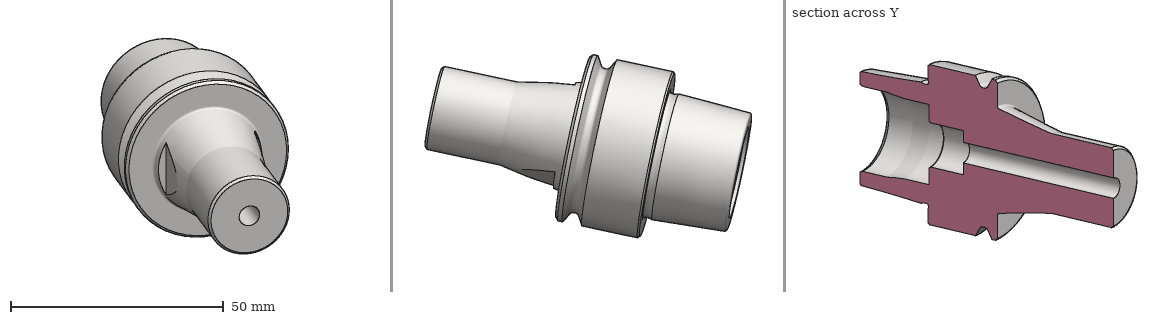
import cadquery as cq
import math

overall_length = 73.5

taper_mouth_radius = 14.25
taper_end_radius = 15.15
taper_end = 17.7
mouth_rounding = 0.65

undercut_radius = 14.85
undercut_start = 18.7
undercut_bend = 19.25
undercut_floor = 19.85
relief_inner_radius = 15.4
relief_outer_radius = 16.1

flange_start = 19.7
flange_end = 39.9
flange_radius = 20.0
flange_edge = 0.45
flange_rear_edge = 0.65
groove_center = 35.9
groove_radius = 17.35
groove_floor_half_width = 0.2
groove_corner_radius = 1.0
groove_wall_angle = math.radians(60)

neck_start = 40.6
neck_start_radius = 13.0
neck_root_rounding = neck_start - flange_end
neck_end = 55.4
neck_sag = 0.1
nose_radius = 10.0
nose_edge = 0.6

flat_start = 41.9
flat_distance = 10.8

mouth_bore_radius = 10.5
bore_mouth_edge = 0.45
bore_mouth_edge_length = 0.9
cone_start = 7.8
cone_end = 13.0
inner_bore_radius = 9.9
inner_bore_depth = 20.0
pilot_radius = 5.45
pilot_edge = 0.45
pilot_depth = 30.0
through_radius = 2.5


def point_on_rounding(center, radius, angle):
    """Point on a rounding, at an angle measured from +X towards +radius."""
    return (center[0] + radius * math.cos(angle), center[1] + radius * math.sin(angle))


def outer_body():
    corner_reach = groove_corner_radius * math.sin(groove_wall_angle)
    corner_rise = groove_corner_radius * (1 - math.cos(groove_wall_angle))
    wall_half_width = groove_floor_half_width + corner_reach
    wall_foot_radius = groove_radius + corner_rise
    wall_run = (flange_radius - wall_foot_radius) / math.tan(groove_wall_angle)
    mouth_half_width = wall_half_width + wall_run
    half_angle = groove_wall_angle / 2
    corner_mid_half_width = groove_floor_half_width + groove_corner_radius * math.sin(half_angle)
    corner_mid_radius = groove_radius + groove_corner_radius * (1 - math.cos(half_angle))

    mouth_center = (mouth_rounding, taper_mouth_radius - mouth_rounding)
    relief_center = (undercut_bend, relief_inner_radius)
    relief_depth = undercut_floor - undercut_bend
    root_center = (neck_start, neck_start_radius + neck_root_rounding)
    neck_middle = ((neck_start + neck_end) / 2, (neck_start_radius + nose_radius) / 2 - neck_sag)

    profile = (
        cq.Workplane("XY")
        .lineTo(0, mouth_center[1])
        .threePointArc(
            point_on_rounding(mouth_center, mouth_rounding, math.radians(135)),
            (mouth_rounding, taper_mouth_radius),
        )
        .lineTo(taper_end, taper_end_radius)
        .lineTo(undercut_start, undercut_radius)
        .lineTo(undercut_bend, undercut_radius)
        .threePointArc(
            point_on_rounding(relief_center, relief_depth, math.radians(-45)),
            (undercut_floor, relief_inner_radius),
        )
        .lineTo(flange_start, relief_outer_radius)
        .lineTo(flange_start, flange_radius - flange_edge)
        .lineTo(flange_start + flange_edge, flange_radius)
        .lineTo(groove_center - mouth_half_width, flange_radius)
        .lineTo(groove_center - wall_half_width, wall_foot_radius)
        .threePointArc(
            (groove_center - corner_mid_half_width, corner_mid_radius),
            (groove_center - groove_floor_half_width, groove_radius),
        )
        .lineTo(groove_center + groove_floor_half_width, groove_radius)
        .threePointArc(
            (groove_center + corner_mid_half_width, corner_mid_radius),
            (groove_center + wall_half_width, wall_foot_radius),
        )
        .lineTo(groove_center + mouth_half_width, flange_radius)
        .lineTo(flange_end - flange_rear_edge, flange_radius)
        .lineTo(flange_end, flange_radius - flange_rear_edge)
        .lineTo(flange_end, root_center[1])
        .threePointArc(
            point_on_rounding(root_center, neck_root_rounding, math.radians(225)),
            (neck_start, neck_start_radius),
        )
        .threePointArc(neck_middle, (neck_end, nose_radius))
        .lineTo(overall_length - nose_edge, nose_radius)
        .lineTo(overall_length, nose_radius - nose_edge)
        .lineTo(overall_length, 0)
        .close()
    )
    return profile.revolve(360, (0, 0, 0), (1, 0, 0))


def bore():
    profile = cq.Workplane("XY").polyline([
        (0, 0),
        (0, mouth_bore_radius + bore_mouth_edge),
        (bore_mouth_edge_length, mouth_bore_radius),
        (cone_start, mouth_bore_radius),
        (cone_end, inner_bore_radius),
        (inner_bore_depth, inner_bore_radius),
        (inner_bore_depth, pilot_radius + pilot_edge),
        (inner_bore_depth + pilot_edge, pilot_radius),
        (pilot_depth, pilot_radius),
        (pilot_depth, through_radius),
        (overall_length, through_radius),
        (overall_length, 0),
    ]).close()
    return profile.revolve(360, (0, 0, 0), (1, 0, 0))


def flat_cutter(side):
    """Block outside one flat; side is -1 or +1 along Y."""
    length = neck_end - flat_start
    depth = flange_radius - flat_distance
    return cq.Workplane("XY").box(length, depth, 2 * flange_radius).translate(
        (flat_start + length / 2, side * (flat_distance + depth / 2), 0)
    )


result = outer_body().cut(bore())
for side in (-1, 1):
    result = result.cut(flat_cutter(side))